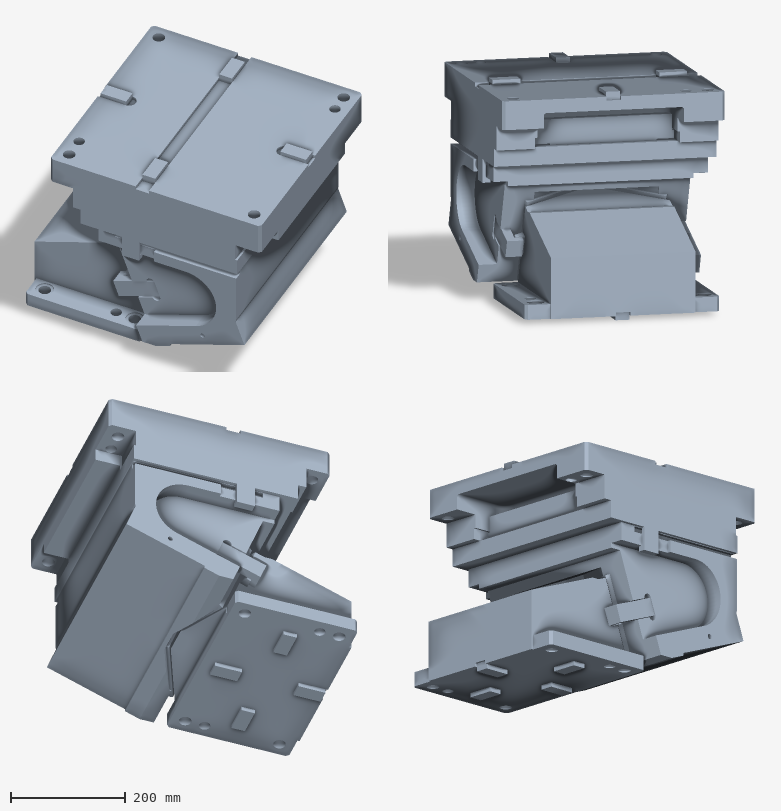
import cadquery as cq
import math

SLIDE_ANGLE = 20.0
ROOF_ANGLE = 25.0
ROOF_SLOPE = math.tan(math.radians(ROOF_ANGLE))
COS_SLIDE = math.cos(math.radians(SLIDE_ANGLE))
SIN_SLIDE = math.sin(math.radians(SLIDE_ANGLE))

CORNER_CHAMFER = 5.0

KEY_WIDTH = 25.0
KEYWAY_WIDTH = 26.0
KEY_LENGTH = 50.0
KEY_HEIGHT = 8.0
KEYWAY_DEPTH = 6.5

FLANGE_THICKNESS = 26.0
FLANGE_LEFT, FLANGE_RIGHT, FLANGE_HALF_WIDTH = 4.0, 231.0, 175.0
BLOCK_HALF_WIDTH = 130.0
BLOCK_FRONT_HEIGHT = 108.3
BLOCK_TOP_Z = 162.0
BLOCK_TOP_S = 97.0
ROOF_BASE_N = 225.0
ROOF_BOTTOM_S = -59.5
ROOF_FLAT_HALF_WIDTH = 22.0
ROOF_TOP_N = ROOF_BASE_N + (BLOCK_HALF_WIDTH - ROOF_FLAT_HALF_WIDTH) * ROOF_SLOPE
DRIVER_CROSS_KEY_X = 114.0
DRIVER_CROSS_KEY_Y = 105.5
DRIVER_KEY_CENTRES_X = (29.5, 184.5)
FLANGE_BOLT_X, FLANGE_BOLT_Y = (30.0, 205.0), 150.0
FLANGE_BOLT_DIAMETER, FLANGE_CBORE_DIAMETER, FLANGE_CBORE_DEPTH = 22.0, 32.0, 2.0
FLANGE_DOWELS = ((169.0, -FLANGE_BOLT_Y), (66.0, FLANGE_BOLT_Y))
FLANGE_DOWEL_DIAMETER = 20.0

HOOK_START_N, HOOK_NOSE_END_N, HOOK_END_N = 198.0, 210.0, 284.5
HOOK_BOTTOM_S, HOOK_TOP_S = 13.0, 45.0
HOOK_OUTER_Y, HOOK_SHANK_Y, HOOK_NOSE_Y = 165.0, 149.0, 135.0
LUG_OUTER_Y = 147.0
LUG_BOTTOM_S, LUG_TOP_S = 11.0, 46.0
SEAT_CLEARANCE = 1.0
RELIEF_RADIUS = 8.0

SLIDER_HALF_WIDTH = 200.0
CORE_HALF_WIDTH = 167.0
HEAD_HALF_WIDTH = 193.0
SLIDER_LEFT, SLIDER_RIGHT = 156.5, 427.5
SLIDER_TOP = 251.0
SLIDER_LIP_Z = 210.0
SLIDER_BOTTOM = 26.0
SLIDE_FACE_N = 239.0
SLIDER_BACK_N = 448.8
BACK_STEP_BOTTOM, BACK_STEP_TOP = 140.5, 146.0
SLIDER_FOOT_S, SLIDER_SOLE_S = -68.3, -63.7
SOLE_STEP_X = 298.5
HEAD_BOTTOM = 218.5
CHEEK_TOP = 240.0
CHEEK_TOP_START_X = 267.5
SIDE_POCKET_RADIUS = 60.5
SIDE_POCKET_RIGHT = 388.5
HEAD_GROOVE_START_X, HEAD_GROOVE_TOP, HEAD_GROOVE_HALF_WIDTH = 187.5, 250.0, 185.0
SIDE_HOLE_X, SIDE_HOLE_Z, SIDE_HOLE_DIAMETER, SIDE_HOLE_DEPTH = 362.0, 84.5, 9.0, 20.0
CHANNEL_HALF_WIDTH, CHANNEL_TOP_S = 112.0, 118.0
CHANNEL_BOTTOM_S = -95.0
PLATE_OUTER_Y, PLATE_OUTER_N = 124.8, 231.3
PLATE_BOTTOM_S, PLATE_TOP_S = -58.0, 102.0
PLATE_THICKNESS = 5.0

HOLDER_LEFT, HOLDER_RIGHT = 65.0, 475.0
HOLDER_TOP = 377.0
HOLDER_HALF_WIDTH = 200.0
HOLDER_BOTTOM = SLIDER_TOP
TAB_LEFT, TAB_RIGHT, TAB_BOTTOM = 205.0, 238.5, 209.0
TAB_CLEAR_Y, TAB_TOE_Y = 194.0, 186.0
HOLDER_CROSS_KEY_X = 245.0
HOLDER_CROSS_KEY_Y = 150.0
HOLDER_KEY_CENTRES_X = (95.0, 445.0)
HOLDER_KEYWAY_LENGTH = 67.5
HOLDER_BOLT_X, HOLDER_BOLT_Y = (90.0, 450.0), 175.0
HOLDER_BOLT_DIAMETER = 22.0
HOLDER_DOWELS = ((90.0, -136.0), (450.0, 140.5))
HOLDER_DOWEL_DIAMETER = 20.0
RIGHT_WALL_X, RIGHT_WALL_UPPER_X = 429.5, 425.5
RIGHT_LEDGE_Z, RIGHT_BLOCK_Z, RIGHT_BLOCK_HALF_WIDTH = 316.0, 292.5, 130.0
STEP_LEFT_X, STEP_TOP_Z, STEP_BOTTOM_Z = 109.5, 326.0, 282.5
BASE_LEFT_X = 125.0
POCKET_TOP, POCKET_HALF_WIDTH = 353.0, 126.0
POCKET_RIGHT, POCKET_CORNER_RADIUS = 180.0, 22.0
MOUTH_HALF_WIDTH, MOUTH_TOP = 130.0, 302.0
POCKET_ROOF_RADIUS = 5.0
GUIDE_LEFT, GUIDE_TOP, GUIDE_GAP = 140.0, 328.0, 2.5
GUIDE_FOOT_HALF_WIDTH = 96.0


def block(x0, x1, y0, y1, z0, z1):
    return cq.Workplane("XY").box(x1 - x0, y1 - y0, z1 - z0, centered=False).translate((x0, y0, z0))


def tilt(shape):
    """Turn a shape built with n, y, s along X, Y, Z into its tilted place."""
    return shape.rotate((0, 0, 0), (0, 1, 0), -SLIDE_ANGLE)


def tilted_block(n0, n1, y0, y1, s0, s1):
    return tilt(block(n0, n1, y0, y1, s0, s1))


def tilted_prism(points, s0, s1):
    """Prism along the slide face from an (n, y) outline."""
    return tilt(cq.Workplane("XY").polyline(points).close().extrude(s1 - s0).translate((0, 0, s0)))


def side_prism(points, half_width):
    """Prism centred on Y = 0 from an (x, z) outline."""
    return cq.Workplane("XZ").polyline(points).close().extrude(half_width, both=True)


def from_tilted(n, s):
    return n * COS_SLIDE - s * SIN_SLIDE, n * SIN_SLIDE + s * COS_SLIDE


def at_n_and_z(n, z):
    return from_tilted(n, (z - n * SIN_SLIDE) / COS_SLIDE)


def at_s_and_x(s, x):
    return x, (s + x * SIN_SLIDE) / COS_SLIDE


def at_s_and_z(s, z):
    return (z * COS_SLIDE - s) / SIN_SLIDE, z


def both_sides(shape):
    return shape.union(shape.mirror("XZ"))


def chamfered_plate(x0, x1, half_width, z0, z1):
    return block(x0, x1, -half_width, half_width, z0, z1).edges("|Z").chamfer(CORNER_CHAMFER)


def vertical_holes(points, diameter, z0, z1):
    return cq.Workplane("XY", origin=(0, 0, z0)).pushPoints(points).circle(diameter / 2).extrude(z1 - z0)


def keys(cross_x, cross_y, centres_x, z0, z1):
    """Two keys across the middle and one key along X at each end."""
    half_width, half_length = KEY_WIDTH / 2, KEY_LENGTH / 2
    cross_key = block(
        cross_x - half_width, cross_x + half_width, cross_y - half_length, cross_y + half_length, z0, z1
    )
    key_set = both_sides(cross_key)
    for x in centres_x:
        key_set = key_set.union(block(x - half_length, x + half_length, -half_width, half_width, z0, z1))
    return key_set


def make_driver():
    front_top = (0, BLOCK_FRONT_HEIGHT)
    front_top_s = BLOCK_FRONT_HEIGHT * COS_SLIDE
    outline = [
        (0, 0),
        front_top,
        at_s_and_z(front_top_s, BLOCK_TOP_Z),
        at_s_and_z(BLOCK_TOP_S, BLOCK_TOP_Z),
        from_tilted(ROOF_BASE_N, BLOCK_TOP_S),
        from_tilted(ROOF_BASE_N, ROOF_BOTTOM_S),
        (FLANGE_RIGHT, 0),
    ]
    body = side_prism(outline, BLOCK_HALF_WIDTH)
    body = body.union(chamfered_plate(FLANGE_LEFT, FLANGE_RIGHT, FLANGE_HALF_WIDTH, 0, FLANGE_THICKNESS))

    roof = [
        (ROOF_BASE_N, -BLOCK_HALF_WIDTH),
        (ROOF_TOP_N, -ROOF_FLAT_HALF_WIDTH),
        (ROOF_TOP_N, ROOF_FLAT_HALF_WIDTH),
        (ROOF_BASE_N, BLOCK_HALF_WIDTH),
    ]
    body = body.union(tilted_prism(roof, ROOF_BOTTOM_S, BLOCK_TOP_S))

    lug = [
        (HOOK_NOSE_END_N, BLOCK_HALF_WIDTH),
        (ROOF_BASE_N, BLOCK_HALF_WIDTH),
        (ROOF_BASE_N - (LUG_OUTER_Y - BLOCK_HALF_WIDTH) * ROOF_SLOPE, LUG_OUTER_Y),
        (HOOK_NOSE_END_N, LUG_OUTER_Y),
    ]
    body = body.union(both_sides(tilted_prism(lug, LUG_BOTTOM_S, LUG_TOP_S)))

    bolts = [(x, y) for x in FLANGE_BOLT_X for y in (-FLANGE_BOLT_Y, FLANGE_BOLT_Y)]
    body = body.cut(vertical_holes(bolts, FLANGE_BOLT_DIAMETER, 0, FLANGE_THICKNESS))
    cbore_floor = FLANGE_THICKNESS - FLANGE_CBORE_DEPTH
    body = body.cut(vertical_holes(bolts, FLANGE_CBORE_DIAMETER, cbore_floor, FLANGE_THICKNESS))
    body = body.cut(vertical_holes(FLANGE_DOWELS, FLANGE_DOWEL_DIAMETER, 0, FLANGE_THICKNESS))

    keyway = block(0, DRIVER_KEY_CENTRES_X[0], -KEYWAY_WIDTH / 2, KEYWAY_WIDTH / 2, 0, KEYWAY_DEPTH)
    body = body.cut(keyway)
    return body.union(
        keys(DRIVER_CROSS_KEY_X, DRIVER_CROSS_KEY_Y, DRIVER_KEY_CENTRES_X, -KEY_HEIGHT, KEYWAY_DEPTH)
    )


def slider_side_pocket():
    """D-shaped recess, open toward the driver, in the outer cheek."""
    radius = SIDE_POCKET_RADIUS
    centre_x = SIDE_POCKET_RIGHT - radius
    centre_z = HEAD_BOTTOM - radius
    lower_tangent = (centre_x + radius * SIN_SLIDE, centre_z - radius * COS_SLIDE)
    reach = centre_x
    lower_end = (lower_tangent[0] - reach, lower_tangent[1] - reach * SIN_SLIDE / COS_SLIDE)
    half_turn = math.radians(SLIDE_ANGLE / 2)
    arc_middle = (centre_x + radius * math.cos(half_turn), centre_z + radius * math.sin(half_turn))
    depth = SLIDER_HALF_WIDTH - CORE_HALF_WIDTH
    return (
        cq.Workplane("XZ", origin=(0, SLIDER_HALF_WIDTH, 0))
        .moveTo(*lower_end)
        .lineTo(*lower_tangent)
        .threePointArc(arc_middle, (centre_x, HEAD_BOTTOM))
        .lineTo(0, HEAD_BOTTOM)
        .close()
        .extrude(depth)
    )


def return_hook():
    shank = tilted_block(
        HOOK_START_N, HOOK_END_N, HOOK_SHANK_Y, HOOK_OUTER_Y, HOOK_BOTTOM_S, HOOK_TOP_S
    )
    nose = tilted_block(
        HOOK_START_N, HOOK_NOSE_END_N, HOOK_NOSE_Y, HOOK_OUTER_Y, HOOK_BOTTOM_S, HOOK_TOP_S
    )
    return shank.union(nose)


def hook_seat():
    """Pocket in the slider core for the hook, with round reliefs in its inner corners."""
    seat = tilted_block(
        HOOK_START_N, HOOK_END_N, HOOK_SHANK_Y, CORE_HALF_WIDTH,
        HOOK_BOTTOM_S - SEAT_CLEARANCE, HOOK_TOP_S + SEAT_CLEARANCE,
    )
    for s in (HOOK_BOTTOM_S, HOOK_TOP_S):
        relief = (
            cq.Workplane("XZ", origin=(0, CORE_HALF_WIDTH, 0))
            .center(HOOK_END_N - RELIEF_RADIUS, s)
            .circle(RELIEF_RADIUS)
            .extrude(CORE_HALF_WIDTH - HOOK_SHANK_Y)
        )
        seat = seat.union(tilt(relief))
    return seat


def plate_n(y):
    return PLATE_OUTER_N + (PLATE_OUTER_Y - y) * ROOF_SLOPE


def slider_channel():
    """V channel over the driver roof; its floor backs the wear plates."""
    rise = PLATE_THICKNESS / math.cos(math.radians(ROOF_ANGLE))
    edge_n = plate_n(CHANNEL_HALF_WIDTH) + rise
    ridge_n = plate_n(ROOF_FLAT_HALF_WIDTH) + rise
    outline = [
        (ROOF_BASE_N, -CHANNEL_HALF_WIDTH),
        (edge_n, -CHANNEL_HALF_WIDTH),
        (ridge_n, -ROOF_FLAT_HALF_WIDTH),
        (ridge_n, ROOF_FLAT_HALF_WIDTH),
        (edge_n, CHANNEL_HALF_WIDTH),
        (ROOF_BASE_N, CHANNEL_HALF_WIDTH),
    ]
    return tilted_prism(outline, CHANNEL_BOTTOM_S, CHANNEL_TOP_S)


def wear_plate():
    """Sloped plate parallel to the driver roof, square at its ends."""
    depth = 2 * PLATE_THICKNESS
    shift_n = depth * math.cos(math.radians(ROOF_ANGLE))
    shift_y = depth * math.sin(math.radians(ROOF_ANGLE))
    inner = (plate_n(ROOF_FLAT_HALF_WIDTH), ROOF_FLAT_HALF_WIDTH)
    outer = (PLATE_OUTER_N, PLATE_OUTER_Y)
    outline = [
        inner,
        outer,
        (outer[0] + shift_n, outer[1] + shift_y),
        (inner[0] + shift_n, inner[1] + shift_y),
    ]
    return tilted_prism(outline, PLATE_BOTTOM_S, PLATE_TOP_S)


def make_slider():
    outline = [
        (SLIDER_LEFT, SLIDER_TOP),
        (SLIDER_LEFT, SLIDER_LIP_Z),
        at_n_and_z(SLIDE_FACE_N, SLIDER_LIP_Z),
        at_n_and_z(SLIDE_FACE_N, SLIDER_BOTTOM),
        at_s_and_z(SLIDER_FOOT_S, SLIDER_BOTTOM),
        at_s_and_x(SLIDER_FOOT_S, SOLE_STEP_X),
        at_s_and_x(SLIDER_SOLE_S, SOLE_STEP_X),
        from_tilted(SLIDER_BACK_N, SLIDER_SOLE_S),
        at_n_and_z(SLIDER_BACK_N, BACK_STEP_BOTTOM),
        (SLIDER_RIGHT, BACK_STEP_TOP),
        (SLIDER_RIGHT, SLIDER_TOP),
    ]
    body = side_prism(outline, SLIDER_HALF_WIDTH)

    head_side = block(0, SLIDER_RIGHT, HEAD_HALF_WIDTH, SLIDER_HALF_WIDTH, CHEEK_TOP, SLIDER_TOP)
    head_side = head_side.union(
        block(0, CHEEK_TOP_START_X, HEAD_HALF_WIDTH, SLIDER_HALF_WIDTH, HEAD_BOTTOM, SLIDER_TOP)
    )
    head_groove = block(
        HEAD_GROOVE_START_X, SLIDER_RIGHT, HEAD_GROOVE_HALF_WIDTH, SLIDER_HALF_WIDTH,
        CHEEK_TOP, HEAD_GROOVE_TOP,
    )
    side_hole = (
        cq.Workplane("XZ", origin=(SIDE_HOLE_X, SLIDER_HALF_WIDTH, SIDE_HOLE_Z))
        .circle(SIDE_HOLE_DIAMETER / 2)
        .extrude(SIDE_HOLE_DEPTH)
    )
    for cutter in (head_side, head_groove, side_hole, slider_side_pocket(), hook_seat()):
        body = body.cut(both_sides(cutter))

    body = body.cut(slider_channel())
    body = body.union(both_sides(wear_plate()))
    return body.union(both_sides(return_hook()))


def holder_pocket():
    """Pocket open toward the front, rounded at its roof and back corners, with a wider lower mouth."""
    pocket = block(0, POCKET_RIGHT, -POCKET_HALF_WIDTH, POCKET_HALF_WIDTH, STEP_BOTTOM_Z, POCKET_TOP)
    pocket = pocket.edges("|Z and >X").fillet(POCKET_CORNER_RADIUS)
    pocket = pocket.faces(">Z").edges("not <X").fillet(POCKET_ROOF_RADIUS)
    mouth_right = POCKET_RIGHT - POCKET_CORNER_RADIUS
    mouth = block(0, mouth_right, -MOUTH_HALF_WIDTH, MOUTH_HALF_WIDTH, STEP_BOTTOM_Z, MOUTH_TOP)
    return pocket.union(mouth)


def guide_block():
    """Block standing on the pocket floor, clear of the pocket sides."""
    right = POCKET_RIGHT - POCKET_CORNER_RADIUS
    upper_half = POCKET_HALF_WIDTH - GUIDE_GAP
    lower_half = MOUTH_HALF_WIDTH - GUIDE_GAP
    foot_half = GUIDE_FOOT_HALF_WIDTH
    underside = STEP_BOTTOM_Z + GUIDE_GAP
    shoulder = MOUTH_TOP - GUIDE_GAP
    upper = block(GUIDE_LEFT, right, -upper_half, upper_half, underside, GUIDE_TOP)
    lower = block(GUIDE_LEFT, right, -lower_half, lower_half, underside, shoulder)
    foot = block(GUIDE_LEFT, right, -foot_half, foot_half, STEP_BOTTOM_Z, underside)
    return upper.union(lower).union(foot)


def make_holder():
    half = HOLDER_HALF_WIDTH
    body = chamfered_plate(HOLDER_LEFT, HOLDER_RIGHT, half, RIGHT_LEDGE_Z, HOLDER_TOP)
    body = body.cut(block(HOLDER_LEFT, STEP_LEFT_X, -half, half, RIGHT_LEDGE_Z, STEP_TOP_Z))
    body = body.union(block(STEP_LEFT_X, RIGHT_WALL_UPPER_X, -half, half, STEP_BOTTOM_Z, STEP_TOP_Z))
    body = body.union(block(BASE_LEFT_X, RIGHT_WALL_X, -half, half, HOLDER_BOTTOM, STEP_BOTTOM_Z))
    rear = RIGHT_BLOCK_HALF_WIDTH
    body = body.union(block(RIGHT_WALL_UPPER_X, HOLDER_RIGHT, -rear, rear, RIGHT_BLOCK_Z, RIGHT_LEDGE_Z))
    body = body.union(block(RIGHT_WALL_UPPER_X, RIGHT_WALL_X, -rear, rear, STEP_BOTTOM_Z, RIGHT_BLOCK_Z))

    tab = block(TAB_LEFT, TAB_RIGHT, TAB_CLEAR_Y, half, TAB_BOTTOM, HOLDER_BOTTOM)
    toe = block(TAB_LEFT, TAB_RIGHT, TAB_TOE_Y, half, TAB_BOTTOM, HEAD_BOTTOM)
    body = body.union(both_sides(tab.union(toe)))

    body = body.cut(holder_pocket()).union(guide_block())

    bolts = [(x, y) for x in HOLDER_BOLT_X for y in (-HOLDER_BOLT_Y, HOLDER_BOLT_Y)]
    body = body.cut(vertical_holes(bolts, HOLDER_BOLT_DIAMETER, RIGHT_LEDGE_Z, HOLDER_TOP))
    body = body.cut(vertical_holes(HOLDER_DOWELS, HOLDER_DOWEL_DIAMETER, RIGHT_LEDGE_Z, HOLDER_TOP))

    keyway_floor = HOLDER_TOP - KEYWAY_DEPTH
    keyway_half = KEYWAY_WIDTH / 2
    body = body.cut(
        block(
            HOLDER_CROSS_KEY_X - keyway_half, HOLDER_CROSS_KEY_X + keyway_half,
            -half, half, keyway_floor, HOLDER_TOP,
        )
    )
    slots = (
        cq.Workplane("XY", origin=(0, 0, keyway_floor))
        .pushPoints([(HOLDER_LEFT, 0), (HOLDER_RIGHT, 0)])
        .slot2D(2 * HOLDER_KEYWAY_LENGTH, KEYWAY_WIDTH)
        .extrude(KEYWAY_DEPTH)
    )
    body = body.cut(slots)
    return body.union(
        keys(
            HOLDER_CROSS_KEY_X, HOLDER_CROSS_KEY_Y, HOLDER_KEY_CENTRES_X,
            keyway_floor, HOLDER_TOP + KEY_HEIGHT,
        )
    )


driver = make_driver()
slider = make_slider()
holder = make_holder()

result = cq.Compound.makeCompound(
    [*driver.solids().vals(), *slider.solids().vals(), *holder.solids().vals()]
)